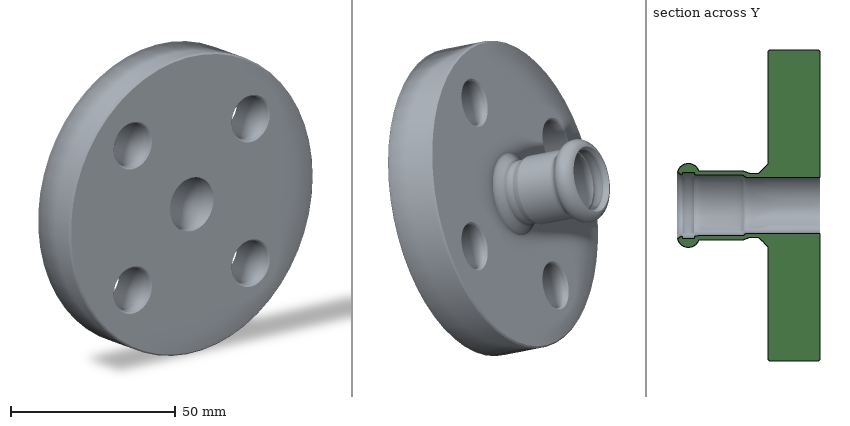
import cadquery as cq

flange_diameter = 95.0
flange_thickness = 16.0
flange_chamfer = 0.5

bolt_circle_diameter = 65.0
bolt_hole_diameter = 14.0
bolt_hole_count = 4
bolt_hole_chamfer = 0.5

total_length = 43.5
flange_face = total_length - flange_thickness
bead_crest = 3.3
bead_end = 6.6
tube_end = 19.95
neck_start = 21.9
cone_start = 24.8

bead_radius = 25.7 / 2
tube_radius = 21.3 / 2
neck_radius = 19.8 / 2
cone_base_radius = 25.4 / 2

mouth_radius = 20.2 / 2
lip_radius = 18.7 / 2
groove_radius = 20.0 / 2
socket_radius = 18.3 / 2
bore_radius = 17.0 / 2
lip_start = 1.1
groove_start = 1.7
groove_end = 5.2
lead_in_end = 6.5
socket_depth = 19.95
shoulder_end = 20.9


def make_body():
    """Revolve the outer outline of pipe stub and flange about the X axis."""
    flange_radius = flange_diameter / 2
    outline = (
        cq.Workplane("XY")
        .lineTo(0, mouth_radius)
        .threePointArc((bead_crest, bead_radius), (bead_end, tube_radius))
        .lineTo(tube_end, tube_radius)
        .lineTo(neck_start, neck_radius)
        .lineTo(cone_start, neck_radius)
        .lineTo(flange_face, cone_base_radius)
        .lineTo(flange_face, flange_radius - flange_chamfer)
        .lineTo(flange_face + flange_chamfer, flange_radius)
        .lineTo(total_length - flange_chamfer, flange_radius)
        .lineTo(total_length, flange_radius - flange_chamfer)
        .lineTo(total_length, 0)
        .close()
    )
    return outline.revolve(360, (0, 0, 0), (1, 0, 0))


def make_bore():
    """Stepped bore: flared mouth, seal groove inside the bead, socket, shoulder and through passage."""
    outline = (
        cq.Workplane("XY")
        .lineTo(0, mouth_radius)
        .lineTo(lip_start, lip_radius)
        .lineTo(groove_start, lip_radius)
        .lineTo(groove_start, groove_radius)
        .lineTo(groove_end, groove_radius)
        .lineTo(groove_end, lip_radius)
        .lineTo(lead_in_end, socket_radius)
        .lineTo(socket_depth, socket_radius)
        .lineTo(shoulder_end, bore_radius)
        .lineTo(total_length, bore_radius)
        .lineTo(total_length, 0)
        .close()
    )
    return outline.revolve(360, (0, 0, 0), (1, 0, 0))


def make_bolt_holes():
    """Bolt hole cutters, widened by a chamfer at both flange faces."""
    hole_radius = bolt_hole_diameter / 2
    rim_radius = hole_radius + bolt_hole_chamfer
    cutter = (
        cq.Workplane("XY")
        .moveTo(flange_face, 0)
        .lineTo(flange_face, rim_radius)
        .lineTo(flange_face + bolt_hole_chamfer, hole_radius)
        .lineTo(total_length - bolt_hole_chamfer, hole_radius)
        .lineTo(total_length, rim_radius)
        .lineTo(total_length, 0)
        .close()
        .revolve(360, (0, 0, 0), (1, 0, 0))
        .translate((0, bolt_circle_diameter / 2, 0))
    )
    spacing = 360 / bolt_hole_count
    cutters = cq.Workplane("XY")
    for index in range(bolt_hole_count):
        angle = spacing * (index + 0.5)
        cutters = cutters.add(cutter.rotate((0, 0, 0), (1, 0, 0), angle))
    return cutters.combine()


result = make_body().cut(make_bore()).cut(make_bolt_holes())